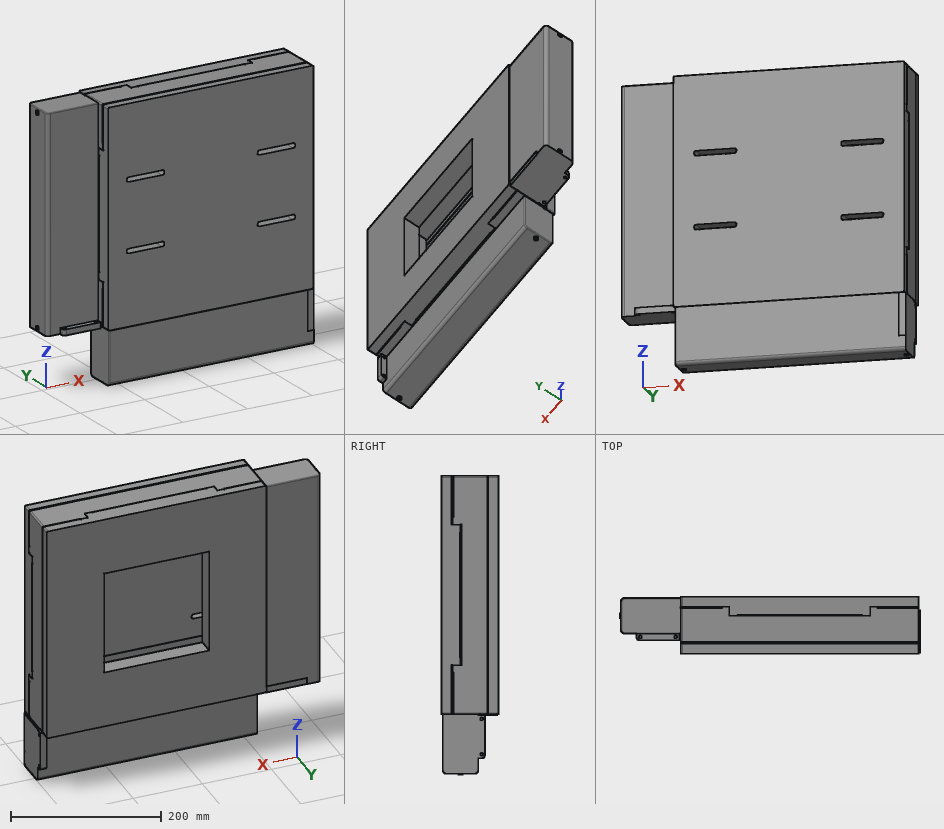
import cadquery as cq

side = 318.0
stack = 76.0
plate_thick = 13.5
gap = 1.2
front_clearance = 1.2
corner_radius = 2.0

rib_half = 93.5
rib_height = 11.5
pad_width = 11.0
pad_height = 1.0
ridge_width = 10.0

slot_length = 58.5
slot_width = 7.0
slot_along = 101.3
slot_across = 51.0
window_side = 152.0

drive_width = 79.5
drive_inset = 1.5
drive_thick = 47.5
drive_shift = 1.5
drive_radius = 5.2
drive_rim_radius = 1.2
screw_diameter = 6.5
socket_diameter = 3.45
screw_height = 1.2
rim_screw_inset = 6.5
plug_screw_inset = 5.0

plug_length = 57.5
plug_thick = 9.0
plug_clearance = 1.2
plug_radius = 4.0
plug_hole_diameter = 3.45
plug_hole_margin = 5.2
recess_length = 59.3
recess_width = 9.5
recess_depth = 0.5

half = side / 2
outer_y = stack / 2
plate_y = outer_y - plate_thick
carriage_y = plate_y - gap
rib_y = plate_y - rib_height
drive_back_y = outer_y - drive_inset
drive_front_y = drive_back_y - drive_thick
drive_x = -half - drive_width
drive_top = half - drive_shift
drive_bottom = -half - drive_shift


def block(x0, x1, y0, y1, z0, z1):
    """Box between the given limits."""
    return cq.Workplane("XY").box(x1 - x0, y1 - y0, z1 - z0, centered=False).translate((x0, y0, z0))


def rounded_square(y0, y1):
    """Square slab with its four corners rounded."""
    return block(-half, half, y0, y1, -half, half).edges("|Y").fillet(corner_radius)


def turned(shape):
    """Carry a shape from the +Y side to the -Y side, turning its sliding direction from Z to X."""
    return shape.mirror("XZ").rotate((0, 0, 0), (0, 1, 0), -90)


def make_ribbed_plate():
    """Square plate with a rib along Z that bears on two edge strips."""
    rib = block(-rib_half, rib_half, rib_y, plate_y, -half, half)
    relief_half = rib_half - pad_width
    relief = block(-relief_half, relief_half, rib_y, rib_y + pad_height, -half, half)
    return rounded_square(plate_y, outer_y).union(rib).cut(relief)


def make_drive():
    """Drive housing along Z beside the plate, with screw heads, cable plug and recess."""
    drive = block(drive_x, -half, drive_front_y, drive_back_y, drive_bottom, drive_top)
    drive = drive.edges("|Z and <X").fillet(drive_radius)
    drive = drive.faces(">Z").edges("not >X").fillet(drive_rim_radius)

    middle_y = (drive_front_y + drive_back_y) / 2
    for z in (drive_top - rim_screw_inset, drive_bottom + plug_screw_inset):
        head = cq.Workplane("YZ", origin=(drive_x - screw_height, middle_y, z))
        head = head.circle(screw_diameter / 2).circle(socket_diameter / 2)
        drive = drive.union(head.extrude(screw_height))

    recess = block(-half - recess_length, -half, drive_back_y - recess_depth, drive_back_y,
                   drive_bottom, drive_bottom + recess_width)
    return drive.cut(recess).union(make_plug())


def make_plug():
    """Cable plug on the inner face of the drive, with a screw hole near each end."""
    right = -half - plug_clearance
    left = right - plug_length
    plug = block(left, right, drive_front_y - plug_thick, drive_front_y,
                 drive_bottom, drive_bottom + plug_thick)
    plug = plug.edges("|Z and <Y and <X").fillet(plug_radius)
    holes = (
        cq.Workplane("XY", origin=(0, drive_front_y - plug_thick / 2, drive_bottom))
        .pushPoints([(left + plug_hole_margin, 0), (right - plug_hole_margin, 0)])
        .circle(plug_hole_diameter / 2)
        .extrude(plug_thick)
    )
    return plug.cut(holes)


def make_rear_slide():
    """Guide plate on the +Y side, with a drive on -X and a square window."""
    window = block(-window_side / 2, window_side / 2, rib_y, outer_y, -window_side / 2, window_side / 2)
    return make_ribbed_plate().union(make_drive()).cut(window)


def make_front_slide():
    """Guide plate on the -Y side, with a drive on -Z and four mounting slots."""
    slots = (
        cq.Workplane("XZ", origin=(0, outer_y, 0))
        .rect(2 * slot_across, 2 * slot_along, forConstruction=True)
        .vertices()
        .slot2D(slot_length, slot_width, 90)
        .extrude(plate_thick + rib_height)
    )
    return turned(make_ribbed_plate().union(make_drive()).cut(slots))


def make_carriage():
    """Open square frame with a channel and bearing ridges on each face."""
    carriage = rounded_square(front_clearance - plate_y, plate_y)
    ridge_half = rib_half + ridge_width
    channel = block(-rib_half, rib_half, rib_y, plate_y, -half, half)
    relief_sides = [
        block(-half, -ridge_half, carriage_y, plate_y, -half, half),
        block(ridge_half, half, carriage_y, plate_y, -half, half),
    ]
    for cutter in (channel, *relief_sides):
        carriage = carriage.cut(cutter).cut(turned(cutter).translate((0, front_clearance, 0)))
    opening = block(-rib_half, rib_half, -plate_y, plate_y, -rib_half, rib_half)
    return carriage.cut(opening)


rear_slide = make_rear_slide()
carriage = make_carriage()
front_slide = make_front_slide()

result = cq.Compound.makeCompound([rear_slide.val(), carriage.val(), front_slide.val()])